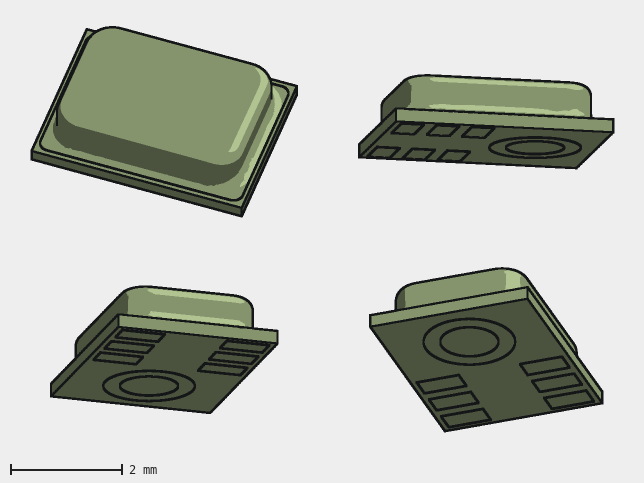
import cadquery as cq

length = 4.0
width = 3.0
height = 0.99

pad_thickness = 0.01
board_thickness = 0.24
flange_thickness = 0.01
board_top = pad_thickness + board_thickness
flange_top = board_top + flange_thickness

flange_margin_x = 0.075
flange_margin_y = 0.1
flange_corner_radius = 0.175

lid_margin = 0.25
lid_corner_radius = 0.5
lid_edge_radius = 0.2
lid_foot_radius = 0.2
match_tolerance = 0.0005

ring_outer_diameter = 1.65
ring_inner_diameter = 1.05
ring_center_x = -0.9
pad_length_x = 0.415
pad_length_y = 0.8
pad_pitch_x = 0.65
pad_margin_y = 0.115
middle_pad_x = 1.02


def rounded_block(size_x, size_y, bottom, top, corner_radius):
    """Upright block with rounded vertical edges, centred on the Z axis."""
    block = cq.Workplane("XY").workplane(offset=bottom).rect(size_x, size_y).extrude(top - bottom)
    return block.edges("|Z").fillet(corner_radius)


def make_board():
    return cq.Workplane("XY").workplane(offset=pad_thickness).rect(length, width).extrude(board_thickness)


def make_lid():
    """Drawn cap with a rounded rim, blended by a concave foot into its flange."""
    flange = rounded_block(
        length - 2 * flange_margin_x,
        width - 2 * flange_margin_y,
        board_top,
        flange_top,
        flange_corner_radius,
    )
    cap = rounded_block(
        length - 2 * lid_margin,
        width - 2 * lid_margin,
        flange_top,
        height,
        lid_corner_radius,
    )
    cap = cap.faces(">Z").edges().fillet(lid_edge_radius)
    foot_edges = cap.faces("<Z").edges().vals()
    foot_centers = [edge.Center() for edge in foot_edges]
    lid = flange.union(cap)

    selected = [
        edge for edge in lid.edges().vals()
        if any((edge.Center() - center).Length < match_tolerance for center in foot_centers)
    ]
    return lid.newObject(selected).fillet(lid_foot_radius)


def make_contacts():
    """Ring contact on the left and two rows of three rectangular contacts on the right."""
    ring = (
        cq.Workplane("XY")
        .center(ring_center_x, 0)
        .circle(ring_outer_diameter / 2)
        .circle(ring_inner_diameter / 2)
        .extrude(pad_thickness)
    )
    row_y = width / 2 - pad_margin_y - pad_length_y / 2
    pads = (
        cq.Workplane("XY")
        .center(middle_pad_x, 0)
        .rarray(pad_pitch_x, 2 * row_y, 3, 2)
        .rect(pad_length_x, pad_length_y)
        .extrude(pad_thickness)
    )
    return ring, pads


ring_contact, rectangular_contacts = make_contacts()
result = make_board().union(make_lid()).union(ring_contact).union(rectangular_contacts)